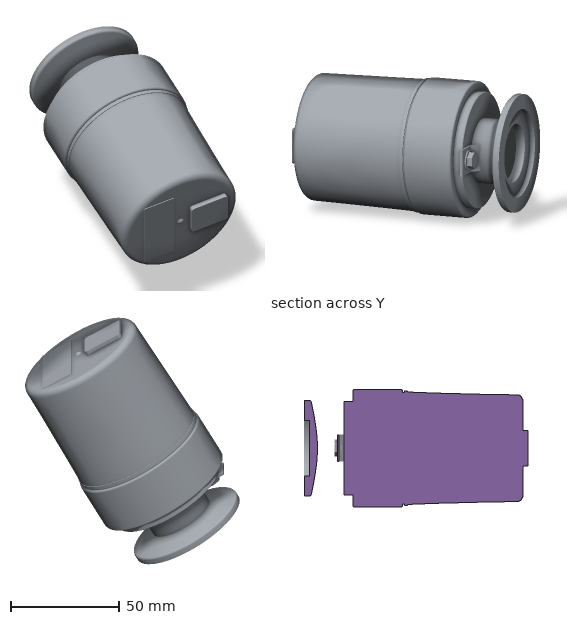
import cadquery as cq
import math


flange_radius = 27.5
flange_rim_width = 2.4
flange_edge_radius = 1.0
cone_angle = 15.0
neck_radius = 15.1

recess_radius = 20.6
recess_depth = 2.4
bore_radius = 13.5
bore_depth = 6.7
bore_edge_chamfer = 0.2

collar_radius = 27.1
collar_start_x = 18.3
collar_chamfer = 0.26
ring_radius = 31.8
ring_start_x = 22.4
ring_end_x = 45.5
ring_edge_radius = 0.9

groove_radius = 30.6
groove_width = 0.6
band_radius = 31.2
band_end_x = 47.7
cap_start_radius = 30.7
cap_end_radius = 29.6
cap_end_x = 101.2
cap_edge_radius = 2.9

block_width = 18.6
block_height = 16.5
block_y = 14.1
block_end_x = 103.5
block_corner_radius = 1.6
label_width = 15.2
label_height = 38.5
label_y = -11.2
label_thickness = 0.36
dome_radius = 1.7
dome_height = 0.9

clip_width = 12.4
clip_thickness = 1.0
clip_leg_thickness = 0.7
clip_outer_y = 29.2
clip_bend_y = 18.2
clip_leg_run = 4.0
screw_y = 21.5
washer_radius = 4.7
washer_thickness = 0.6
screw_head_flats = 6.7
screw_head_height = 2.5


def arc_mid(center_x, center_r, radius, start_angle, end_angle):
    """Point halfway along an arc, with angles in degrees from +X."""
    angle = math.radians((start_angle + end_angle) / 2)
    return center_x + radius * math.cos(angle), center_r + radius * math.sin(angle)


def make_turned_body():
    cone_lean = math.radians(cone_angle)
    edge_center_r = flange_radius - flange_edge_radius
    rim_end_x = flange_rim_width + flange_edge_radius * math.cos(cone_lean)
    rim_end_r = edge_center_r + flange_edge_radius * math.sin(cone_lean)
    cone_end_x = rim_end_x + (rim_end_r - neck_radius) * math.tan(cone_lean)
    ring_shoulder = ring_radius - ring_edge_radius
    groove_end_x = ring_end_x + groove_width
    cap_edge_x = cap_end_x - cap_edge_radius
    cap_face_radius = cap_end_radius - cap_edge_radius
    profile = (
        cq.Workplane("XY")
        .lineTo(0, flange_radius)
        .lineTo(flange_rim_width, flange_radius)
        .threePointArc(
            arc_mid(flange_rim_width, edge_center_r, flange_edge_radius, 90, cone_angle),
            (rim_end_x, rim_end_r),
        )
        .lineTo(cone_end_x, neck_radius)
        .lineTo(collar_start_x, neck_radius)
        .lineTo(collar_start_x, collar_radius - collar_chamfer)
        .lineTo(collar_start_x + collar_chamfer, collar_radius)
        .lineTo(ring_start_x, collar_radius)
        .lineTo(ring_start_x, ring_shoulder)
        .threePointArc(
            arc_mid(ring_start_x + ring_edge_radius, ring_shoulder, ring_edge_radius, 180, 90),
            (ring_start_x + ring_edge_radius, ring_radius),
        )
        .lineTo(ring_end_x - ring_edge_radius, ring_radius)
        .threePointArc(
            arc_mid(ring_end_x - ring_edge_radius, ring_shoulder, ring_edge_radius, 90, 0),
            (ring_end_x, ring_shoulder),
        )
        .lineTo(ring_end_x, groove_radius)
        .lineTo(groove_end_x, groove_radius)
        .lineTo(groove_end_x, band_radius)
        .lineTo(band_end_x, band_radius)
        .lineTo(band_end_x, cap_start_radius)
        .lineTo(cap_edge_x, cap_end_radius)
        .threePointArc(
            arc_mid(cap_edge_x, cap_face_radius, cap_edge_radius, 90, 0),
            (cap_end_x, cap_face_radius),
        )
        .lineTo(cap_end_x, 0)
        .close()
    )
    return profile.revolve(360, (0, 0, 0), (1, 0, 0))


def make_bore():
    profile = (
        cq.Workplane("XY")
        .lineTo(0, recess_radius)
        .lineTo(recess_depth, recess_radius)
        .lineTo(recess_depth, bore_radius + bore_edge_chamfer)
        .lineTo(recess_depth + bore_edge_chamfer, bore_radius)
        .lineTo(bore_depth, bore_radius)
        .lineTo(bore_depth, 0)
        .close()
    )
    return profile.revolve(360, (0, 0, 0), (1, 0, 0))


def make_end_block():
    length = block_end_x - cap_end_x + cap_edge_radius
    return (
        cq.Workplane("YZ", origin=(block_end_x - length, block_y, 0))
        .rect(block_width, block_height)
        .extrude(length)
        .edges("|X")
        .fillet(block_corner_radius)
    )


def make_label():
    return (
        cq.Workplane("YZ", origin=(cap_end_x, label_y, 0))
        .rect(label_width, label_height)
        .extrude(label_thickness)
    )


def make_dome():
    sphere_radius = (dome_radius**2 + dome_height**2) / (2 * dome_height)
    sphere_x = cap_end_x + dome_height - sphere_radius
    edge_angle = math.degrees(math.asin(dome_radius / sphere_radius))
    profile = (
        cq.Workplane("XY")
        .moveTo(cap_end_x, 0)
        .lineTo(cap_end_x, dome_radius)
        .threePointArc(
            arc_mid(sphere_x, 0, sphere_radius, edge_angle, 0),
            (cap_end_x + dome_height, 0),
        )
        .close()
    )
    return profile.revolve(360, (0, 0, 0), (1, 0, 0))


def make_clip():
    back_x = collar_start_x
    front_x = back_x - clip_thickness
    leg_end_offset = clip_leg_thickness * math.sin(math.radians(45))
    inner_bend_y = clip_bend_y - clip_thickness + 2 * leg_end_offset
    tip_x = back_x - clip_leg_run
    tip_y = clip_bend_y - clip_leg_run
    return (
        cq.Workplane("XY", origin=(0, 0, -clip_width / 2))
        .moveTo(back_x, clip_outer_y)
        .lineTo(back_x, clip_bend_y)
        .lineTo(tip_x, tip_y)
        .lineTo(tip_x - leg_end_offset, tip_y + leg_end_offset)
        .lineTo(front_x, inner_bend_y)
        .lineTo(front_x, clip_outer_y)
        .close()
        .extrude(clip_width)
    )


def make_screw():
    washer_back_x = collar_start_x - clip_thickness
    washer_front_x = washer_back_x - washer_thickness
    washer = (
        cq.Workplane("YZ", origin=(washer_back_x, screw_y, 0))
        .circle(washer_radius)
        .extrude(-washer_thickness)
    )
    corner_diameter = screw_head_flats / math.cos(math.pi / 6)
    head = (
        cq.Workplane("YZ", origin=(washer_front_x, screw_y, 0))
        .transformed(rotate=(0, 0, 90))
        .polygon(6, corner_diameter)
        .extrude(-screw_head_height)
    )
    return washer.union(head)


result = make_turned_body().cut(make_bore())
for detail in (make_end_block(), make_label(), make_dome(), make_clip(), make_screw()):
    result = result.union(detail)